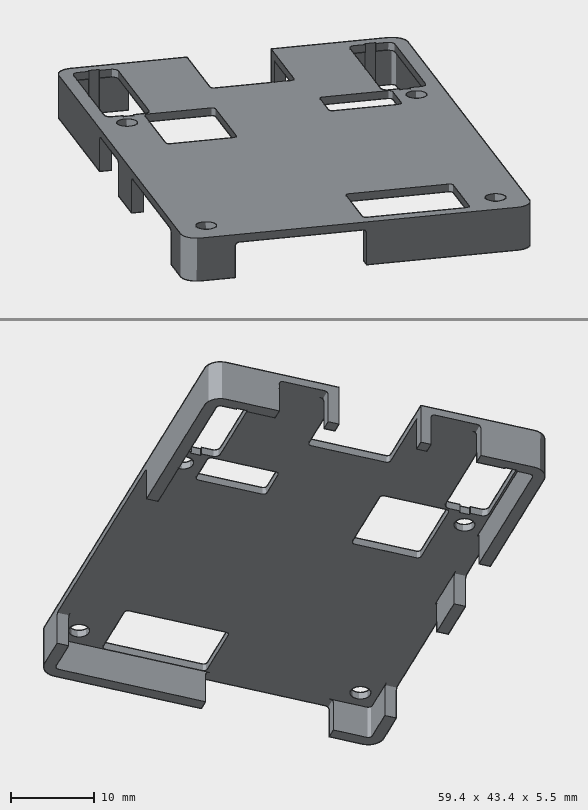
import cadquery as cq

length = 59.4
width = 43.4
height = 5.5
roof_thickness = 1.0
wall_thickness = 1.5
corner_radius = 2.0
inner_corner_radius = corner_radius - wall_thickness
roof_underside = height - roof_thickness

window_radius = 0.5

hole_diameter = 2.5
hole_spacing = 36.0
hole_center_x = 7.8

slot_length = 15.45
slot_width = 5.6
slot_radius = 0.8
slot_center_x = -20.4
slot_side_margin = 1.7
slot_key_depth = 0.3
slot_key_width = 1.3

notch_depth = 10.9
notch_width = 10.45

roof_windows = [
    (-12.35, -7.6, 6.5, 15.5),
    (-12.35, -2.0, -15.3, -6.55),
    (19.95, 28.15, 0.9, 14.2),
]

front_openings = [(-9.15, -0.6), (5.4, 23.35)]
back_openings = [(-7.6, 23.35)]
left_openings = [(-12.9, -6.55), (6.65, 12.9)]
right_openings = [(-15.45, 0.9)]


def rounded_block(x_min, x_max, y_min, y_max, z_min, z_max, radius, edges="|Z"):
    """Box between the given limits, with the selected edges rounded."""
    box = cq.Workplane("XY").box(x_max - x_min, y_max - y_min, z_max - z_min, centered=False)
    return box.edges(edges).fillet(radius).translate((x_min, y_min, z_min))


def shell():
    """Roof and skirt wall."""
    half_x = length / 2
    half_y = width / 2
    body = rounded_block(-half_x, half_x, -half_y, half_y, 0, height, corner_radius)
    in_x = half_x - wall_thickness
    in_y = half_y - wall_thickness
    cavity = rounded_block(-in_x, in_x, -in_y, in_y, 0, roof_underside, inner_corner_radius)
    return body.cut(cavity)


def connector_slot(side):
    """Rounded slot with a small key at each end, running down the full height of the part."""
    center_y = side * (width / 2 - slot_side_margin - slot_width / 2)
    slot = (
        cq.Workplane("XY")
        .box(slot_length, slot_width, height, centered=(True, True, False))
        .edges("|Z")
        .fillet(slot_radius)
    )
    key_length = slot_length + 2 * slot_key_depth
    keys = cq.Workplane("XY").box(key_length, slot_key_width, height, centered=(True, True, False))
    return slot.union(keys).translate((slot_center_x, center_y, 0))


def roof_window(x_min, x_max, y_min, y_max):
    """Rounded rectangular window through the roof only."""
    return rounded_block(x_min, x_max, y_min, y_max, roof_underside, height, window_radius)


def end_notch():
    """Notch open to the -X side, rounded at its inner corners."""
    x_min = -length / 2
    half_notch = notch_width / 2
    return rounded_block(
        x_min, x_min + notch_depth, -half_notch, half_notch, 0, height, window_radius, "|Z and >X"
    )


def opening_along_x(start, end, side):
    """Opening in a long wall, from its lower edge up to the roof."""
    inner_y = width / 2 - wall_thickness
    y_min, y_max = sorted((side * inner_y, side * width / 2))
    return rounded_block(
        start, end, y_min, y_max, 0, roof_underside, window_radius, "|Y and >Z"
    )


def opening_along_y(start, end, side):
    """Opening in a short wall, from its lower edge up to the roof."""
    inner_x = length / 2 - wall_thickness
    x_min, x_max = sorted((side * inner_x, side * length / 2))
    return rounded_block(
        x_min, x_max, start, end, 0, roof_underside, window_radius, "|X and >Z"
    )


result = shell()

screw_holes = (
    cq.Workplane("XY")
    .center(hole_center_x, 0)
    .rect(hole_spacing, hole_spacing, forConstruction=True)
    .vertices()
    .circle(hole_diameter / 2)
    .extrude(height)
)
result = result.cut(screw_holes).cut(end_notch())

for side in (-1, 1):
    result = result.cut(connector_slot(side))

for window in roof_windows:
    result = result.cut(roof_window(*window))

for side, openings in ((-1, front_openings), (1, back_openings)):
    for start, end in openings:
        result = result.cut(opening_along_x(start, end, side))

for side, openings in ((-1, left_openings), (1, right_openings)):
    for start, end in openings:
        result = result.cut(opening_along_y(start, end, side))

result = result.translate((0, 0, -height / 2))